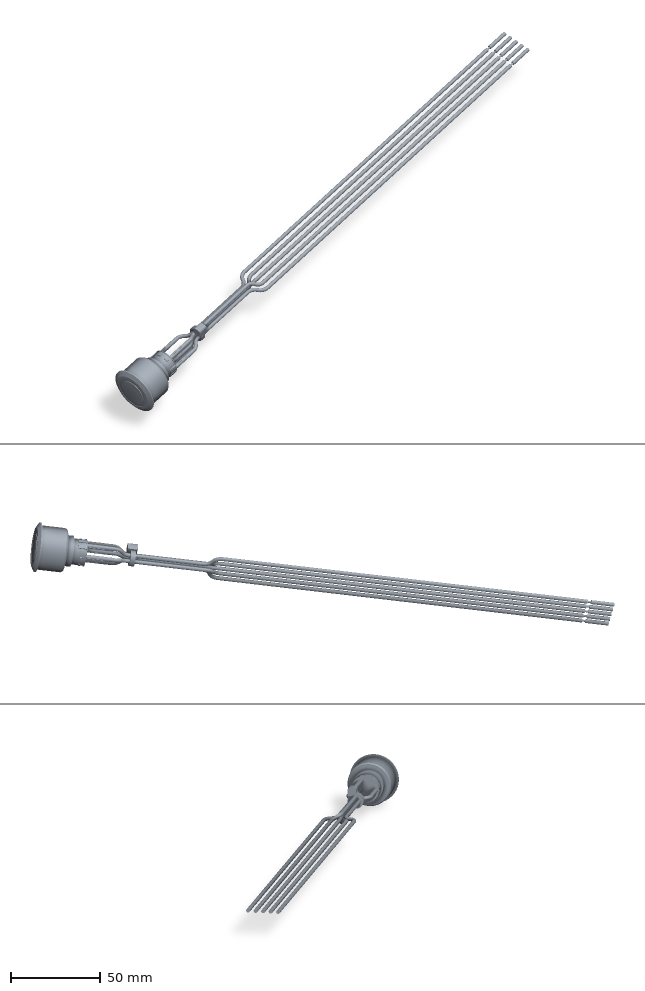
import cadquery as cq


total_length = 329.4

face_dia = 22.8
rim_dia = 28.0
rim_front = 1.5
rim_back = 2.2
body_dia = 25.0
body_back = 17.3
body_back_dia = 23.8
body_chamfer_length = 1.0
collar_dia = 17.5
collar_back = 21.3
neck_dia = 14.7
neck_back = 29.0

lens_dia = 15.7
light_ring_dia = 20.0
light_ring_depth = 0.3

neck_rim_dia = 15.7
neck_rim_length = 0.3
rib_width = 2.0
rib_spacing = 4.0
rib_front = 24.0
nub_width = 2.2
nub_spacing = 5.0
nub_front = 25.4
nub_back = 26.6

wire_dia = 2.2
core_dia = 1.1
bundle_pitch = 2.3
fan_pitch = 4.3
strip_gap = 2.0
end_sleeve_length = 13.2

terminal_side_x = 6.3
terminal_row_x = 2.5
terminal_row_z = 4.9
sleeve_dia = 2.4
sleeve_back = 44.6
blade_width = 2.8
blade_thickness = 0.5
blade_back = 38.8

embed = 1.0

terminal_bend_start = 45.2
terminal_bend_end = 53.5
fan_bend_outer = (96.0, 106.0)
fan_bend_inner = (98.0, 107.0)

tie_strap_radius = 4.5
tie_strap_front = 54.4
tie_strap_back = 57.2
tie_head_front = 52.8
tie_head_back = 58.3
tie_head_bottom = 3.0
tie_head_top = 7.7
tie_head_left = -0.4
tie_head_right = 4.5
tie_head_round = 1.6


def box_between(x0, x1, y0, y1, z0, z1):
    """Box given by its limits along each axis."""
    size_x, size_y, size_z = x1 - x0, y1 - y0, z1 - z0
    return cq.Workplane("XY").box(size_x, size_y, size_z, centered=False).translate((x0, y0, z0))


def rod(x, z, y0, y1, dia):
    """Round bar parallel to Y."""
    solid = cq.Solid.makeCylinder(dia / 2, y1 - y0, cq.Vector(x, y0, z), cq.Vector(0, 1, 0))
    return cq.Workplane(obj=solid)


def make_housing():
    """Turned housing: bevelled rim, chamfered body, collar and neck."""
    profile = (
        cq.Workplane("XY")
        .lineTo(face_dia / 2, 0)
        .lineTo(rim_dia / 2, rim_front)
        .lineTo(rim_dia / 2, rim_back)
        .lineTo(body_dia / 2, rim_back)
        .lineTo(body_dia / 2, body_back - body_chamfer_length)
        .lineTo(body_back_dia / 2, body_back)
        .lineTo(collar_dia / 2, body_back)
        .lineTo(collar_dia / 2, collar_back)
        .lineTo(neck_dia / 2, collar_back)
        .lineTo(neck_dia / 2, neck_back)
        .lineTo(0, neck_back)
        .close()
    )
    housing = profile.revolve(360, (0, 0, 0), (0, 1, 0))
    groove = rod(0, 0, 0, light_ring_depth, light_ring_dia)
    groove = groove.cut(rod(0, 0, 0, light_ring_depth, lens_dia))
    return housing.cut(groove)


def make_neck_details():
    """Rear rim, paired ribs on the two X sides and paired nubs on the two Z sides."""
    outer = neck_rim_dia / 2
    details = rod(0, 0, neck_back - neck_rim_length, neck_back, neck_rim_dia)
    for side in (-1, 1):
        rib_z = side * rib_spacing / 2
        nub_x = side * nub_spacing / 2
        rib_low, rib_high = rib_z - rib_width / 2, rib_z + rib_width / 2
        nub_left, nub_right = nub_x - nub_width / 2, nub_x + nub_width / 2
        details = details.union(box_between(-outer, outer, rib_front, neck_back, rib_low, rib_high))
        details = details.union(box_between(nub_left, nub_right, nub_front, nub_back, -outer, outer))
    return details.intersect(rod(0, 0, rib_front, neck_back, neck_rim_dia))


def make_terminal(x, z):
    """Upright blade terminal covered by a round sleeve."""
    base = neck_back - embed
    left, right = x - blade_thickness / 2, x + blade_thickness / 2
    low, high = z - blade_width / 2, z + blade_width / 2
    blade = box_between(left, right, base, blade_back, low, high)
    return rod(x, z, base, sleeve_back, sleeve_dia).union(blade)


def s_bend(start, end):
    """Edges from start to end that leave and arrive along Y: two equal tangent arcs."""
    offset = cq.Vector(end.x - start.x, 0, end.z - start.z)
    if offset.Length == 0:
        return [cq.Edge.makeLine(start, end)]
    along = cq.Vector(0, 1, 0)
    middle = (start + end) * 0.5
    return [
        cq.Edge.makeTangentArc(start, along, middle),
        cq.Edge.makeTangentArc(end, along * -1, middle),
    ]


def make_wire(terminal, bundle, fan_x, fan_bend):
    """Wire from its terminal through the bundle to its fanned-out end."""
    core_start = total_length - end_sleeve_length - strip_gap
    sleeve_start = total_length - end_sleeve_length
    points = [
        cq.Vector(terminal[0], neck_back, terminal[1]),
        cq.Vector(terminal[0], terminal_bend_start, terminal[1]),
        cq.Vector(bundle[0], terminal_bend_end, bundle[1]),
        cq.Vector(bundle[0], fan_bend[0], bundle[1]),
        cq.Vector(fan_x, fan_bend[1], 0),
        cq.Vector(fan_x, core_start, 0),
    ]
    edges = []
    for start, end in zip(points, points[1:]):
        edges += s_bend(start, end)
    path = cq.Wire.assembleEdges(edges)
    section = cq.Workplane("XZ", origin=points[0].toTuple()).circle(wire_dia / 2)
    wire = section.sweep(cq.Workplane(obj=path))
    core = rod(fan_x, 0, core_start - embed, sleeve_start + embed, core_dia)
    return wire.union(core).union(rod(fan_x, 0, sleeve_start, total_length, wire_dia))


def make_cable_tie():
    """Strap around the bundle with its round-topped locking head."""
    strap = rod(0, 0, tie_strap_front, tie_strap_back, 2 * tie_strap_radius)
    head = box_between(
        tie_head_left, tie_head_right, tie_head_front, tie_head_back, tie_head_bottom, tie_head_top
    )
    head = head.edges("|Y and >Z").fillet(tie_head_round)
    return strap.union(head)


wire_runs = [
    ((terminal_row_x, 0), (0, 0), 0, fan_bend_inner),
]
for side in (-1, 1):
    side_terminal = (side * terminal_side_x, 0)
    row_terminal = (terminal_row_x, side * terminal_row_z)
    wire_runs.append((side_terminal, (side * bundle_pitch, 0), side * 2 * fan_pitch, fan_bend_outer))
    wire_runs.append((row_terminal, (0, side * bundle_pitch), side * fan_pitch, fan_bend_inner))

result = make_housing().union(make_neck_details())
for terminal, bundle, fan_x, fan_bend in wire_runs:
    result = result.union(make_terminal(terminal[0], terminal[1]))
    result = result.union(make_wire(terminal, bundle, fan_x, fan_bend))
result = result.union(make_cable_tie())